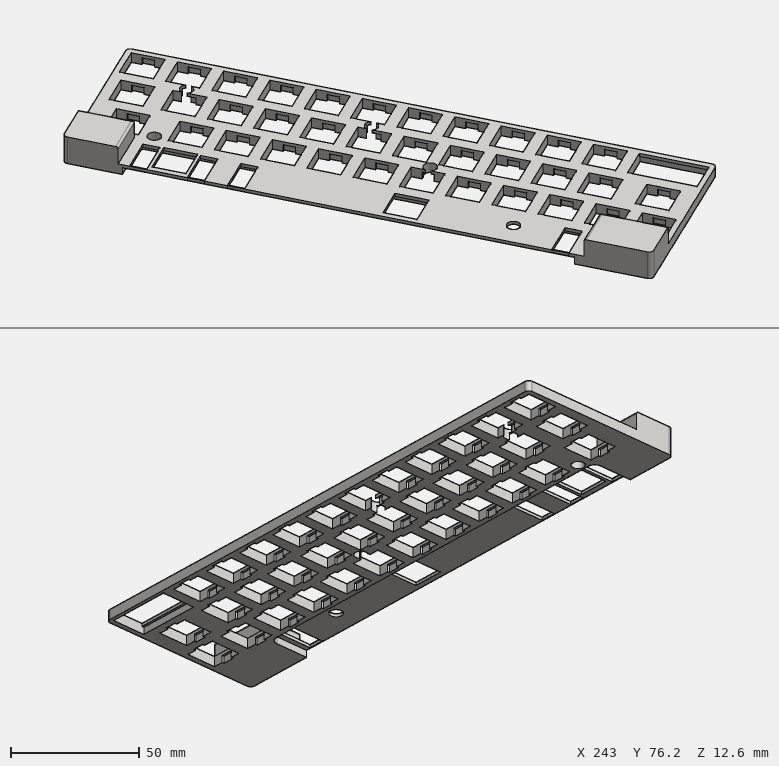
import cadquery as cq

LENGTH = 243.0
ROW_COUNT = 4
KEYS_PER_ROW = 12.75
KEY_UNIT = LENGTH / KEYS_PER_ROW
DEPTH = ROW_COUNT * KEY_UNIT
PLATE_HEIGHT = 4.5
CORNER_RADIUS = 2.0

BLOCK_HEIGHT = 12.6
BLOCK_DEPTH = 19.2
LEFT_BLOCK_WIDTH = 22.8
RIGHT_BLOCK_WIDTH = 28.2
BLOCK_EDGE_RADIUS = 1.0

WEB_THICKNESS = 1.5
CHANNEL_LEFT = 24.5
CHANNEL_RIGHT = 210.8
CHANNEL_DEPTH = KEY_UNIT
CHANNEL_CORNER_RADIUS = 3.5

SWITCH_SPACING = 5.0
SWITCH_SIZE = KEY_UNIT - SWITCH_SPACING
CLIP_RELIEF_WIDTH = 5.0
CLIP_RELIEF_DEPTH = 1.0
WIDE_OPENING_LENGTH = 28.7

STABILIZER_WIDTH = 7.0
STABILIZER_LENGTH = 15.5
STABILIZER_FRONT = 0.5
SHORT_STABILIZER_OFFSET = 12.0
LONG_STABILIZER_OFFSET = 66.8

SCREW_DIAMETER = 5.5
GAP_SCREW_X = 31.0
GAP_SCREW_PITCH = 4 * KEY_UNIT
FRONT_LEFT_SCREW = (29.9, 22.5)
FRONT_RIGHT_SCREW = (182.0, 11.0)

FRONT_ROW_KEYS = [2.25, 7.25]
SECOND_ROW_KEYS = [0.875] + [2.25 + i for i in range(11)]
THIRD_ROW_KEYS = [0.625] + [1.75 + i for i in range(10)] + [12.0]
BACK_ROW_KEYS = [0.5 + i for i in range(11)]
WIDE_KEY = 11.875

SCREW_POSITIONS = [
    (GAP_SCREW_X, 3 * KEY_UNIT),
    (GAP_SCREW_X + GAP_SCREW_PITCH, 3 * KEY_UNIT),
    (FRONT_ROW_KEYS[1] * KEY_UNIT, 2 * KEY_UNIT),
    FRONT_LEFT_SCREW,
    FRONT_RIGHT_SCREW,
]


def box(x, y, z, length, depth, height):
    """Box with its lowest corner at (x, y, z)."""
    return cq.Workplane("XY").box(length, depth, height, centered=False).translate((x, y, z))


def centered_box(x, y, length, depth, height):
    """Box standing on the bottom face and centered on (x, y)."""
    return box(x - length / 2, y - depth / 2, 0, length, depth, height)


def corner_block(x, width, inner_side):
    """Raised block whose top edges facing the keys are rounded."""
    block = box(x, 0, 0, width, BLOCK_DEPTH, BLOCK_HEIGHT)
    return block.edges(f">Z and (>Y or {inner_side})").fillet(BLOCK_EDGE_RADIUS)


def body():
    """Plate and corner blocks with rounded outer corners."""
    outline = box(0, 0, 0, LENGTH, DEPTH, BLOCK_HEIGHT).edges("|Z").fillet(CORNER_RADIUS)
    plate = box(0, 0, 0, LENGTH, DEPTH, PLATE_HEIGHT)
    left_block = corner_block(0, LEFT_BLOCK_WIDTH, ">X")
    right_block = corner_block(LENGTH - RIGHT_BLOCK_WIDTH, RIGHT_BLOCK_WIDTH, "<X")
    return plate.union(left_block).union(right_block).intersect(outline)


def channel():
    """Space under the front row, with rounded back corners."""
    width = CHANNEL_RIGHT - CHANNEL_LEFT
    space = box(CHANNEL_LEFT, 0, 0, width, CHANNEL_DEPTH, PLATE_HEIGHT - WEB_THICKNESS)
    return space.edges("|Z and >Y").fillet(CHANNEL_CORNER_RADIUS)


def key_opening(key, row, length=SWITCH_SIZE):
    """Opening through the plate at a key center given in key units."""
    return centered_box(key * KEY_UNIT, (row + 0.5) * KEY_UNIT, length, SWITCH_SIZE, PLATE_HEIGHT)


def clip_relief(key, row, width=CLIP_RELIEF_WIDTH):
    """Undercut in the front and back walls of an opening, up to the height of the web."""
    depth = SWITCH_SIZE + 2 * CLIP_RELIEF_DEPTH
    height = PLATE_HEIGHT - WEB_THICKNESS
    return centered_box(key * KEY_UNIT, (row + 0.5) * KEY_UNIT, width, depth, height)


def stabilizer_slots(key, offset):
    """Pair of slots at equal distances to the left and right of a front row key."""
    y = STABILIZER_FRONT + STABILIZER_LENGTH / 2
    x = key * KEY_UNIT
    left = centered_box(x - offset, y, STABILIZER_WIDTH, STABILIZER_LENGTH, PLATE_HEIGHT)
    right = centered_box(x + offset, y, STABILIZER_WIDTH, STABILIZER_LENGTH, PLATE_HEIGHT)
    return left.union(right)


result = body().cut(channel())

for key in FRONT_ROW_KEYS:
    result = result.cut(key_opening(key, 0))

for row, keys in enumerate([SECOND_ROW_KEYS, THIRD_ROW_KEYS, BACK_ROW_KEYS], start=1):
    for key in keys:
        result = result.cut(key_opening(key, row)).cut(clip_relief(key, row))

result = result.cut(key_opening(WIDE_KEY, ROW_COUNT - 1, WIDE_OPENING_LENGTH))
result = result.cut(clip_relief(WIDE_KEY, ROW_COUNT - 1, WIDE_OPENING_LENGTH))

short_key, long_key = FRONT_ROW_KEYS
result = result.cut(stabilizer_slots(short_key, SHORT_STABILIZER_OFFSET))
result = result.cut(stabilizer_slots(long_key, LONG_STABILIZER_OFFSET))

screw_holes = cq.Workplane("XY").pushPoints(SCREW_POSITIONS).circle(SCREW_DIAMETER / 2).extrude(PLATE_HEIGHT)
result = result.cut(screw_holes)